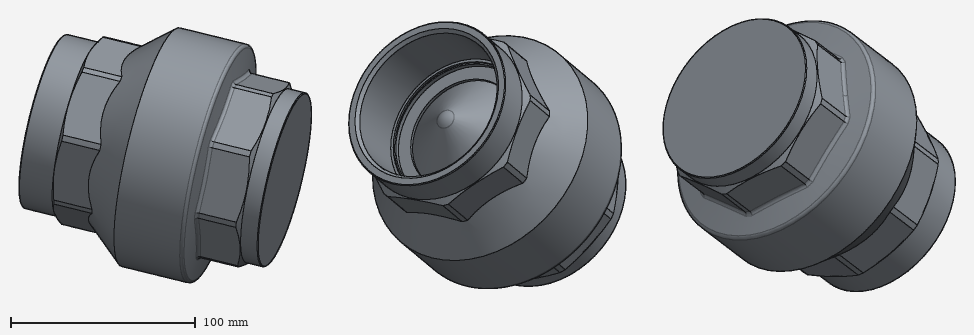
import cadquery as cq
import math

total_length = 135.75
body_radius = 133.0 / 2

collar_radius = 48.5
collar_edge_chamfer = 0.5
inlet_collar_length = 19.0
outlet_collar_length = 9.85

octagon_sides = 8
octagon_across_flats = 97.8
octagon_corner_radius = 52.25
octagon_chamfer_angle = 30.0
inlet_octagon_turn = 0.0
outlet_octagon_turn = 27.5

shoulder_start = 59.75
shoulder_angle = 40.0
back_rim = 98.75
back_face_angle = 9.0
rim_fillet = 2.0
root_fillet = 2.0

bore_radius = 42.4
mouth_radius = 44.3
mouth_chamfer_angle = 45.0
bore_depth = 36.5
upper_step_radius = 40.8
upper_step_depth = 1.4
lower_step_radius = 40.0
lower_step_depth = 2.9

seat_radius = 32.4
seat_depth = 2.0
cone_half_angle = 51.3
nose_radius = 8.5

selection_margin = 0.1

full_turn = 360


def tan_degrees(angle):
    return math.tan(math.radians(angle))


def turned(outline):
    """Revolve a closed (X, radius) outline about the X axis."""
    return outline.close().revolve(full_turn, (0, 0, 0), (1, 0, 0))


def edges_within(start, end, radius):
    """Selector for the edges lying wholly between two X positions and inside a radius."""
    reach = radius + selection_margin
    return cq.selectors.BoxSelector(
        (start - selection_margin, -reach, -reach),
        (end + selection_margin, reach, reach),
        boundingbox=True,
    )


def make_collar(start, length, outer_face):
    collar = cq.Workplane("YZ").workplane(offset=start).circle(collar_radius).extrude(length)
    return collar.faces(outer_face).chamfer(collar_edge_chamfer)


def make_octagon(inner_end, collar_end, turn):
    """Octagonal prism whose end next to the collar is chamfered by a cone."""
    direction = math.copysign(1, collar_end - inner_end)
    across_corners = octagon_across_flats / math.cos(math.pi / octagon_sides)
    prism = (
        cq.Workplane("YZ")
        .workplane(offset=inner_end)
        .polygon(octagon_sides, across_corners)
        .extrude(collar_end - inner_end)
        .rotate((0, 0, 0), (1, 0, 0), turn)
    )
    chamfer_length = (octagon_corner_radius - collar_radius) * tan_degrees(octagon_chamfer_angle)
    envelope = turned(
        cq.Workplane("XY")
        .moveTo(inner_end, 0)
        .lineTo(inner_end, octagon_corner_radius)
        .lineTo(collar_end - direction * chamfer_length, octagon_corner_radius)
        .lineTo(collar_end, collar_radius)
        .lineTo(collar_end, 0)
    )
    return prism.intersect(envelope)


def make_body():
    """Body with a conical shoulder in front and a shallow conical back face."""
    shoulder_foot = shoulder_start - (body_radius - collar_radius) / tan_degrees(shoulder_angle)
    back_foot = back_rim + (body_radius - collar_radius) * tan_degrees(back_face_angle)
    body = turned(
        cq.Workplane("XY")
        .moveTo(shoulder_foot, 0)
        .lineTo(shoulder_foot, collar_radius)
        .lineTo(shoulder_start, body_radius)
        .lineTo(back_rim, body_radius)
        .lineTo(back_foot, collar_radius)
        .lineTo(back_foot, 0)
    )
    rim = edges_within(back_rim - rim_fillet, back_rim + rim_fillet, body_radius)
    return body.edges(rim).fillet(rim_fillet)


def fillet_octagon_root(part):
    """Round the inner corner between the back face and the outlet octagon."""
    back_face_width = body_radius - octagon_across_flats / 2
    root_end = back_rim + back_face_width * tan_degrees(back_face_angle)
    root = edges_within(back_rim, root_end, octagon_corner_radius)
    return part.edges(root).fillet(root_fillet)


def make_bore():
    """Stepped inlet cavity, ending at the surface of the valve cone."""
    mouth_depth = (mouth_radius - bore_radius) * tan_degrees(mouth_chamfer_angle)
    upper_step_end = bore_depth + upper_step_depth
    seat_face = upper_step_end + lower_step_depth
    cone_base = seat_face + seat_depth

    half_angle = math.radians(cone_half_angle)
    tangent_radius = nose_radius * math.cos(half_angle)
    tangent_x = cone_base - (seat_radius - tangent_radius) / math.tan(half_angle)
    nose_center = tangent_x + nose_radius * math.sin(half_angle)
    nose_tip = nose_center - nose_radius
    mid_angle = (half_angle + math.pi / 2) / 2
    nose_mid = (
        nose_center - nose_radius * math.sin(mid_angle),
        nose_radius * math.cos(mid_angle),
    )

    return turned(
        cq.Workplane("XY")
        .moveTo(0, 0)
        .lineTo(0, mouth_radius)
        .lineTo(mouth_depth, bore_radius)
        .lineTo(bore_depth, bore_radius)
        .lineTo(bore_depth, upper_step_radius)
        .lineTo(upper_step_end, upper_step_radius)
        .lineTo(upper_step_end, lower_step_radius)
        .lineTo(seat_face, lower_step_radius)
        .lineTo(seat_face, seat_radius)
        .lineTo(cone_base, seat_radius)
        .lineTo(tangent_x, tangent_radius)
        .threePointArc(nose_mid, (nose_tip, 0))
    )


outlet_collar_start = total_length - outlet_collar_length
body_middle = (shoulder_start + back_rim) / 2

inlet_octagon = make_octagon(body_middle, inlet_collar_length, inlet_octagon_turn)
outlet_octagon = make_octagon(body_middle, outlet_collar_start, outlet_octagon_turn)
inlet_collar = make_collar(0, inlet_collar_length, "<X")
outlet_collar = make_collar(outlet_collar_start, outlet_collar_length, ">X")

result = make_body().union(outlet_octagon)
result = fillet_octagon_root(result)
result = result.union(inlet_octagon).union(inlet_collar).union(outlet_collar)
result = result.cut(make_bore())